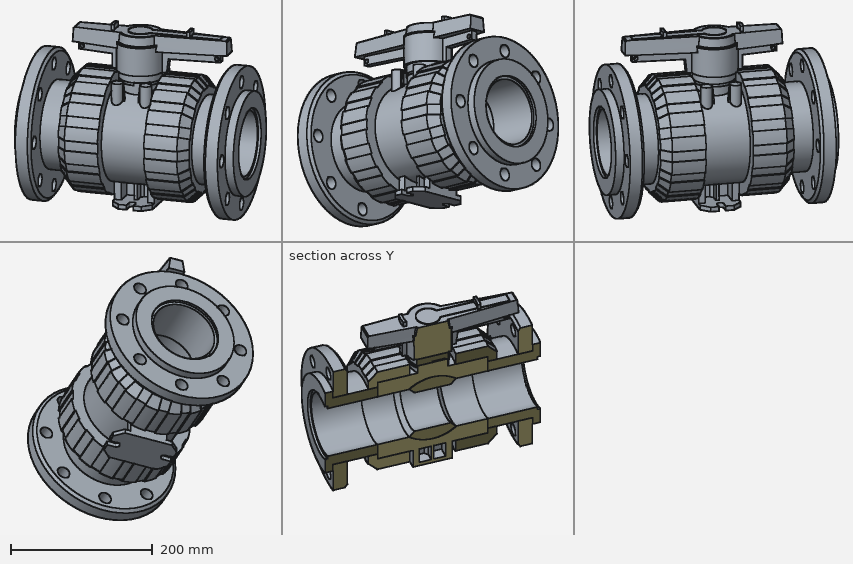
import cadquery as cq
import math


half_length = 162.5
bore_radius = 46.8
face_recess_radius = 51.0
face_recess_depth = 4.2
collar_radius = 75.0
collar_width = 12.5
pipe_radius = 64.0
flange_radius = 109.5
flange_width = 21.8
flange_chamfer_width = 4.0
flange_chamfer_height = 5.0
bolt_circle_radius = 90.0
bolt_hole_radius = 9.0
bolt_count = 8
flange_outer_x = half_length - collar_width

nut_radius = 90.7
nut_inner_x = 34.5
nut_taper_x = 83.5
nut_outer_x = 97.2
nut_end_radius = nut_radius - (nut_outer_x - nut_taper_x)
nut_groove_depth = 2.0
nut_groove_width = 15.0
nut_groove_count = 16

body_radius = 72.0
body_half_length = nut_taper_x
neck_radius = 29.5
neck_top = 83.0
post_x = 21.0
post_y = 40.0
post_radius = 8.5
post_top = 84.8
post_base = 48.8
post_rib_base_reach = 12.0
post_rib_width = 4.0
post_rib_offset = 3.2

foot_half_x = 29.5
foot_half_y = 48.8
foot_chamfer = 12.7
foot_bottom = -99.8
foot_plate_height = 6.8
foot_slot_radius = 5.0
foot_slot_y = 36.7
foot_leg_width = 10.0
foot_leg_half_y = 27.5
foot_boss_radius = 6.8
foot_rib_half_y = 20.5
foot_rib_width = 4.5

ball_radius = 58.5
ball_port_radius = 39.3
mouth_x = math.sqrt(ball_radius**2 - bore_radius**2)
mouth_depth = bore_radius - ball_port_radius

stem_radius = 9.8
stem_bottom = 48.8
stem_head_radius = 30.5
stem_skirt_bottom = 79.3
stop_notch_angle = 45.0
stop_notch_top = 84.0

hub_bottom = 94.5
hub_radius = 34.0
hub_rim_radius = 34.5
hub_rim_bottom = 136.0
hub_rim_top = 137.8
cap_bottom_radius = 32.0
cap_top_radius = 30.2
cap_edge_width = 1.5
cap_edge_height = 0.5
lever_top = 151.5
lever_middle_bottom = 127.7
lever_end_bottom = 130.3
lever_front_x = -95.5
lever_back_x = 131.3
lever_end_draft = 1.0
lever_chamfer = 1.5
lever_top_half_widths = (12.5, 17.5, 9.0)
lever_bottom_half_widths = (14.3, 20.5, 12.5)
web_thickness = 10.0
web_front_x = -90.0
web_back_x = 120.2
web_overlap = 3.2
web_top = lever_end_bottom + web_overlap
web_end_bottom = 117.3
web_middle_bottom = 115.0
web_hole_radius = 3.0
web_hole_inset = 5.2
web_hole_z = 122.5
hub_web_front_x = -40.5
hub_web_back_x = 43.0
hub_web_back_foot_x = 40.5
badge_radius = 17.5
badge_half_width = 7.8
badge_end_x = 120.2
badge_height = 1.0
tab_inner_radii = {-1: 37.0, 1: 72.0}
tab_thickness = 4.5
tab_half_width = 9.5
tab_top = 159.2


def revolve_about_x(points):
    """Solid of revolution about the X axis from (x, radius) points."""
    return cq.Workplane("XY").polyline(points).close().revolve(360, (0, 0, 0), (1, 0, 0))


def vertical_cylinder(radius, bottom, top, x=0, y=0):
    return cq.Workplane("XY", origin=(x, y, bottom)).circle(radius).extrude(top - bottom)


def block(x_range, y_range, z_range):
    spans = [high - low for low, high in (x_range, y_range, z_range)]
    corner = (x_range[0], y_range[0], z_range[0])
    return cq.Workplane("XY").box(*spans, centered=False).translate(corner)


def mirrored_pair(body):
    """The +X body and its mirror image at -X."""
    return [body, body.mirror("YZ")]


def make_pipe_end():
    recess_floor_x = half_length - face_recess_depth
    return revolve_about_x([
        (body_half_length, bore_radius),
        (body_half_length, pipe_radius),
        (flange_outer_x, pipe_radius),
        (flange_outer_x, collar_radius),
        (half_length, collar_radius),
        (half_length, face_recess_radius),
        (recess_floor_x, face_recess_radius),
        (recess_floor_x, bore_radius),
    ])


def make_flange():
    inner_x = flange_outer_x - flange_width
    ring = revolve_about_x([
        (inner_x, pipe_radius),
        (inner_x, flange_radius - flange_chamfer_height),
        (inner_x + flange_chamfer_width, flange_radius),
        (flange_outer_x, flange_radius),
        (flange_outer_x, pipe_radius),
    ])
    bolt_holes = (
        cq.Workplane("YZ", origin=(inner_x, 0, 0))
        .polarArray(bolt_circle_radius, 0, 360, bolt_count)
        .circle(bolt_hole_radius)
        .extrude(flange_width)
    )
    return ring.cut(bolt_holes)


def nut_blank(depth):
    """Nut outline, solid to the axis, lowered by depth."""
    return revolve_about_x([
        (nut_inner_x, 0),
        (nut_inner_x, nut_radius - depth),
        (nut_taper_x, nut_radius - depth),
        (nut_outer_x, nut_end_radius - depth),
        (nut_outer_x, 0),
    ])


def make_nut():
    nut = nut_blank(0)
    groove_floor = nut_blank(nut_groove_depth)
    half_width = nut_groove_width / 2
    slab = block((nut_inner_x, nut_outer_x), (-half_width, half_width), (0, nut_radius))
    for index in range(nut_groove_count):
        angle = index * 360 / nut_groove_count
        nut = nut.cut(slab.rotate((0, 0, 0), (1, 0, 0), angle).cut(groove_floor))
    bore = revolve_about_x([
        (nut_inner_x, 0),
        (nut_inner_x, body_radius),
        (body_half_length, body_radius),
        (body_half_length, pipe_radius),
        (nut_outer_x, pipe_radius),
        (nut_outer_x, 0),
    ])
    return nut.cut(bore)


def make_post_rib():
    """Upright rib leaning against a post on the Z axis, pointing along +X and thinning out at the top."""
    outline = [
        (0, post_base),
        (post_rib_base_reach, post_base),
        (post_radius, post_top),
        (0, post_top),
    ]
    return cq.Workplane("XZ").polyline(outline).close().extrude(post_rib_width / 2, both=True)


def make_post():
    """Post at +X +Y of the neck, with one rib towards -X and one towards -Y."""
    post = vertical_cylinder(post_radius, post_base, post_top)
    rib = make_post_rib()
    post = post.union(rib.rotate((0, 0, 0), (0, 0, 1), 180))
    post = post.union(rib.rotate((0, 0, 0), (0, 0, 1), -90).translate((post_rib_offset, 0, 0)))
    return post.translate((post_x, post_y, 0))


def make_foot():
    plate_top = foot_bottom + foot_plate_height
    foot = block((-foot_half_x, foot_half_x), (-foot_half_y, foot_half_y), (foot_bottom, plate_top))
    foot = foot.edges("|Z").chamfer(foot_chamfer)
    for side in (-1, 1):
        slot = vertical_cylinder(foot_slot_radius, foot_bottom, plate_top, 0, side * foot_slot_y)
        y_range = sorted((side * foot_slot_y, side * foot_half_y))
        slot = slot.union(block((-foot_slot_radius, foot_slot_radius), y_range, (foot_bottom, plate_top)))
        foot = foot.cut(slot)

    stand = (plate_top, 0)
    half_rib = foot_rib_width / 2
    foot = foot.union(block((-foot_half_x, foot_half_x), (-half_rib, half_rib), stand))
    foot = foot.union(block((-half_rib, half_rib), (-foot_rib_half_y, foot_rib_half_y), stand))
    foot = foot.union(vertical_cylinder(foot_boss_radius, plate_top, 0))
    for side in (-1, 1):
        x_range = sorted((side * foot_half_x, side * (foot_half_x - foot_leg_width)))
        foot = foot.union(block(x_range, (-foot_leg_half_y, foot_leg_half_y), stand))
    return foot


def make_body():
    barrel = cq.Workplane("YZ", origin=(-body_half_length, 0, 0)).circle(body_radius)
    body = barrel.extrude(2 * body_half_length)
    body = body.union(vertical_cylinder(neck_radius, 0, neck_top))
    for right_post in (make_post(), make_post().mirror("XZ")):
        for post in mirrored_pair(right_post):
            body = body.union(post)
    body = body.union(make_foot())

    bore = cq.Workplane("YZ", origin=(-body_half_length, 0, 0)).circle(bore_radius)
    body = body.cut(bore.extrude(2 * body_half_length))
    body = body.cut(cq.Workplane("XY").sphere(ball_radius))
    return body.cut(vertical_cylinder(stem_radius, 0, neck_top))


def make_ball():
    throat_x = mouth_x - mouth_depth
    port = revolve_about_x([
        (-ball_radius, 0),
        (-ball_radius, bore_radius),
        (-mouth_x, bore_radius),
        (-throat_x, ball_port_radius),
        (throat_x, ball_port_radius),
        (mouth_x, bore_radius),
        (ball_radius, bore_radius),
        (ball_radius, 0),
    ])
    ball = cq.Workplane("XY").sphere(ball_radius).cut(port)
    return ball.cut(vertical_cylinder(stem_radius, stem_bottom, ball_radius))


def make_stem():
    head = vertical_cylinder(stem_head_radius, stem_skirt_bottom, hub_bottom)
    head = head.cut(vertical_cylinder(neck_radius, stem_skirt_bottom, neck_top))
    reach = 2 * stem_head_radius
    notch_side = reach * math.tan(math.radians(stop_notch_angle))
    notch = (
        cq.Workplane("XY", origin=(0, 0, stem_skirt_bottom))
        .polyline([(0, 0), (0, -reach), (notch_side, -reach)])
        .close()
        .extrude(stop_notch_top - stem_skirt_bottom)
    )
    return head.cut(notch).union(vertical_cylinder(stem_radius, stem_bottom, hub_bottom))


def lever_outline(front_x, back_x, half_widths):
    """Lever seen along Z, tapering from the stem to both ends."""
    front_half, middle_half, back_half = half_widths
    upper = [(front_x, front_half), (0, middle_half), (back_x, back_half)]
    return upper + [(x, -y) for x, y in reversed(upper)]


def make_lever():
    base_front_x = lever_front_x - lever_end_draft
    base_back_x = lever_back_x + lever_end_draft
    lever = (
        cq.Workplane("XY", origin=(0, 0, lever_middle_bottom))
        .polyline(lever_outline(base_front_x, base_back_x, lever_bottom_half_widths))
        .close()
        .workplane(offset=lever_top - lever_middle_bottom)
        .polyline(lever_outline(lever_front_x, lever_back_x, lever_top_half_widths))
        .close()
        .loft(ruled=True)
    )
    side_outline = [
        (base_front_x, lever_end_bottom),
        (0, lever_middle_bottom),
        (base_back_x, lever_end_bottom),
        (base_back_x, lever_top - lever_chamfer),
        (lever_back_x, lever_top - lever_chamfer),
        (lever_back_x - lever_chamfer, lever_top),
        (lever_front_x + lever_chamfer, lever_top),
        (lever_front_x, lever_top - lever_chamfer),
        (base_front_x, lever_top - lever_chamfer),
    ]
    side = cq.Workplane("XZ").polyline(side_outline).close()
    return lever.intersect(side.extrude(hub_radius, both=True))


def make_hub():
    profile = [
        (0, hub_bottom),
        (hub_radius, hub_bottom),
        (hub_radius, hub_rim_bottom),
        (hub_rim_radius, hub_rim_bottom),
        (hub_rim_radius, hub_rim_top),
        (cap_bottom_radius, hub_rim_top),
        (cap_top_radius, lever_top - cap_edge_height),
        (cap_top_radius - cap_edge_width, lever_top),
        (0, lever_top),
    ]
    return cq.Workplane("XZ").polyline(profile).close().revolve(360, (0, 0, 0), (0, 1, 0))


def make_web():
    """Upright web under the lever, with a small cross hole near each end."""
    outline = [
        (web_front_x, web_top),
        (web_front_x, web_end_bottom),
        (hub_web_front_x, web_middle_bottom),
        (hub_web_front_x, hub_bottom),
        (hub_web_back_foot_x, hub_bottom),
        (hub_web_back_x, web_middle_bottom),
        (web_back_x, web_end_bottom),
        (web_back_x, web_top),
    ]
    web = cq.Workplane("XZ").polyline(outline).close().extrude(web_thickness / 2, both=True)
    hole_places = [(web_front_x + web_hole_inset, web_hole_z), (web_back_x - web_hole_inset, web_hole_z)]
    holes = cq.Workplane("XZ").pushPoints(hole_places).circle(web_hole_radius)
    return web.cut(holes.extrude(web_thickness, both=True))


def make_badge():
    z_range = (lever_top, lever_top + badge_height)
    disc = vertical_cylinder(badge_radius, *z_range)
    return disc.union(block((0, badge_end_x), (-badge_half_width, badge_half_width), z_range))


def make_tab(side):
    """Upright tab curved about the stem axis."""
    inner_radius = tab_inner_radii[side]
    outer_radius = inner_radius + tab_thickness
    ring = vertical_cylinder(outer_radius, lever_top, tab_top)
    ring = ring.cut(vertical_cylinder(inner_radius, lever_top, tab_top))
    x_range = sorted((0, side * outer_radius))
    return ring.intersect(block(x_range, (-tab_half_width, tab_half_width), (lever_top, tab_top)))


def make_handle():
    handle = make_hub().union(make_lever()).union(make_web()).union(make_badge())
    for side in tab_inner_radii:
        handle = handle.union(make_tab(side))
    return handle


body = make_body()
ball = make_ball()
stem = make_stem()
handle = make_handle()
pipe_ends = mirrored_pair(make_pipe_end())
flanges = mirrored_pair(make_flange())
nuts = mirrored_pair(make_nut())

parts = [body, ball, stem, handle, *pipe_ends, *flanges, *nuts]
result = cq.Compound.makeCompound([part.solids().val() for part in parts])